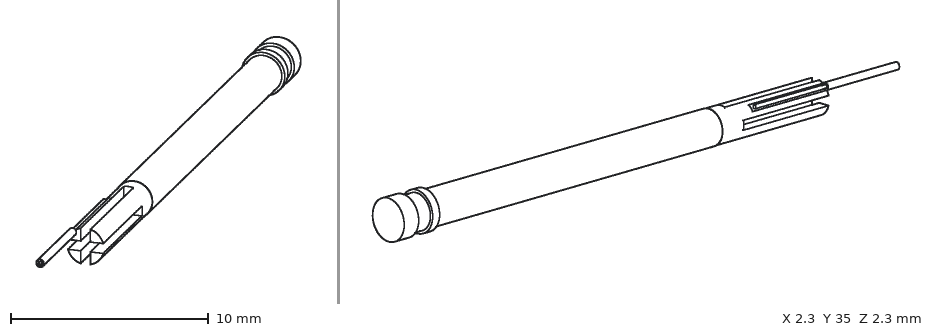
import cadquery as cq

overall_length = 35.0
sheath_length = 5.0
tip_recess_depth = 0.1
core_length = 4.97
groove_end_gap = 0.25
nose_length = 7.5
vertical_slit_depth = 6.65
horizontal_slit_depth = 6.0
head_length = 1.0
neck_length = 0.98
collar_length = 0.5

head_diameter = 2.3
sleeve_diameter = 2.0
nose_diameter = 1.95
slit_width = 0.52
sheath_diameter = 0.42
core_diameter = 0.2
groove_diameter = sheath_diameter
wire_offset = 0.7

prong_end_y = sheath_length
nose_back_y = prong_end_y + nose_length
head_front_y = overall_length - head_length
collar_back_y = head_front_y - neck_length
collar_front_y = collar_back_y - collar_length


def rod_on_wire_axis(diameter, start_y, length):
    """Round rod parallel to Y, centred on the wire axis."""
    start = cq.Vector(-wire_offset, start_y, wire_offset)
    along_y = cq.Vector(0, 1, 0)
    return cq.Workplane("XY").add(cq.Solid.makeCylinder(diameter / 2, length, start, along_y))


def turned_blank():
    """Solid of revolution about Y: nose, sleeve, collar, neck and head."""
    nose_radius = nose_diameter / 2
    sleeve_radius = sleeve_diameter / 2
    head_radius = head_diameter / 2
    profile = [
        (prong_end_y, 0),
        (prong_end_y, nose_radius),
        (nose_back_y, nose_radius),
        (nose_back_y, sleeve_radius),
        (collar_front_y, sleeve_radius),
        (collar_front_y, head_radius),
        (collar_back_y, head_radius),
        (collar_back_y, sleeve_radius),
        (head_front_y, sleeve_radius),
        (head_front_y, head_radius),
        (overall_length, head_radius),
        (overall_length, 0),
    ]
    return cq.Workplane("YZ").polyline(profile).close().revolve(360, (0, 0), (1, 0))


def slit(size_x, size_z, depth):
    """Cutter running from the prong ends back into the nose."""
    return (
        cq.Workplane("XY")
        .box(size_x, depth, size_z, centered=(True, False, True))
        .translate((0, prong_end_y, 0))
    )


def make_sleeve():
    """Sleeve slit into four prongs at its -Y end, one of them grooved for the wire."""
    return (
        turned_blank()
        .cut(slit(slit_width, head_diameter, vertical_slit_depth))
        .cut(slit(head_diameter, slit_width, horizontal_slit_depth))
        .cut(rod_on_wire_axis(groove_diameter, prong_end_y, core_length + groove_end_gap))
    )


def make_wire():
    """Stepped wire: sheathed beyond the prongs, bare core in the groove."""
    sheath = rod_on_wire_axis(sheath_diameter, 0, sheath_length)
    core = rod_on_wire_axis(core_diameter, prong_end_y, core_length)
    tip_recess = rod_on_wire_axis(core_diameter, 0, tip_recess_depth)
    return sheath.union(core).cut(tip_recess)


sleeve = make_sleeve()
wire = make_wire()
result = cq.Compound.makeCompound([sleeve.val(), wire.val()])